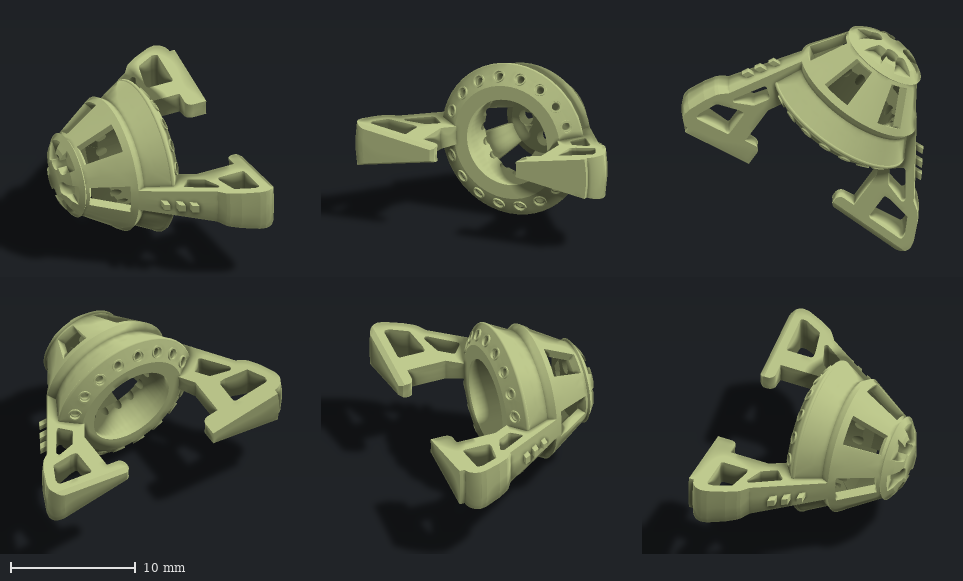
import cadquery as cq
import math


cone_front = (3.31, 1.28)
ridge = (5.57, 4.88)
groove = (5.2, 5.55)
rim_front = (6.2, 7.49)
rim_crest = (6.307, 7.65)
rim_back = (6.2, 7.8)
rear_edge = (4.7, 8.8)
bore_radius = 3.55
wall = 0.75

window_count = 6
window_angle = 28
window_front_y = 1.52
window_back_y = 4.35
step_lead = 0.02
overcut = 0.22

stud_count = 18
stud_centre_radius = 5.4
stud_radius = 0.53
stud_height = 0.13
stud_recess_radius = 0.42
stud_recess_depth = 0.27
stud_bore_radius = 0.33
stud_root = 0.22
stud_bore_length = 4.42

arm_angle = 19.0
arm_back_y = 14.67
tab_back_y = 15.1
tab_outer_radius = 10.03
foot_radius = 3.82
foot_front_y = 13.43
toe_radius = 0.53
toe_chamfer = 0.27
post_radius = 5.32
post_front_y = 10.1
post_root_radius = 4.53
arm_root = (4.95, 5.55)
shoulder_middle = (10.78, 14.31)
arm_side = [(11.05, 13.65), (10.95, 13.17), (10.35, 11.8), (9.87, 10.98), (9.68, 10.75), (9.01, 10.27)]
bevel_length = 0.42
bevel_depth = 0.22
bevel_reach = 13.25
arm_slot_fillet = 0.22
large_slot = [(6.83, 13.59), (10.05, 13.59), (10.05, 13.1), (9.32, 11.62), (7.4, 11.25), (6.83, 11.25)]
small_slot = [(8.7, 11.02), (6.58, 10.3), (5.79, 9.1), (6.8, 8.22)]

grip_blocks = [
    (8.33, 8.84, 8.37, 8.64, 0.62),
    (7.4, 7.86, 7.82, 8.08, 0.62),
    (6.38, 6.8, 7.22, 7.42, 0.5),
]
grip_length = 1.1

lip = (3.5, 1.15)
dome_break = (2.58, 0.46)
nose_radius = 1.41
plug_radius = 2.32
plug_back_radius = 1.55
plug_back_y = 2.35
plug_crown_radius = 1.92
plug_groove_width = 1.1
nose_hole_count = 4
nose_hole_circle = 1.6
nose_hole_radius = 0.607
nose_pocket_angle = 35
nose_pocket_inner_radius = 1.52
nose_pocket_floor_y = 0.8
nose_pocket_fillet = 0.33

cone_slope = (ridge[0] - cone_front[0]) / (ridge[1] - cone_front[1])
cone_tilt = math.atan(cone_slope)
normal = (math.cos(cone_tilt), -math.sin(cone_tilt))


def cone_point(y, depth):
    """Point at a depth below the place where the cone surface has height y."""
    radius = cone_front[0] + (y - cone_front[1]) * cone_slope
    return (radius - depth * normal[0], y - depth * normal[1])


window_front_inner = cone_point(window_front_y, wall)
step_outer = cone_point(window_back_y - step_lead, wall)
window_depth = wall + 1.33
floor_y = window_front_inner[1]
step_y = step_outer[1] + (step_outer[0] - bore_radius) * cone_slope


def turn(sketch, angle=360):
    """Revolve an outline about Y, centred on the +X direction."""
    return sketch.revolve(angle, (0, 0), (0, 1)).rotate((0, 0, 0), (0, 1, 0), -angle / 2)


def around(body, index, count):
    """Copy of a body, turned to its place in a ring about Y."""
    return body.rotate((0, 0, 0), (0, 1, 0), index * 360 / count)


def outer_form():
    outline = (
        cq.Workplane("XY")
        .moveTo(0, cone_front[1])
        .lineTo(*cone_front)
        .lineTo(*ridge)
        .lineTo(*groove)
        .lineTo(*rim_front)
        .threePointArc(rim_crest, rim_back)
        .lineTo(*rear_edge)
        .lineTo(0, rear_edge[1])
        .close()
    )
    return turn(outline)


def cavity():
    """Rear bore, the cone behind the windows and the front opening that takes the cap's plug."""
    outline = (
        cq.Workplane("XY")
        .moveTo(0, cone_front[1])
        .lineTo(plug_radius, cone_front[1])
        .lineTo(plug_radius, floor_y)
        .lineTo(*window_front_inner)
        .lineTo(*step_outer)
        .lineTo(bore_radius, step_y)
        .lineTo(bore_radius, rear_edge[1])
        .lineTo(0, rear_edge[1])
        .close()
    )
    return turn(outline)


def window():
    corners = [
        cone_point(window_front_y, -overcut),
        cone_point(window_back_y, -overcut),
        cone_point(window_back_y, window_depth),
        cone_point(window_front_y, window_depth),
    ]
    return turn(cq.Workplane("XY").polyline(corners).close(), window_angle)


def stud_plane():
    """Plane on the rear bevel of the rim, facing out along the bevel's normal."""
    run = rim_back[0] - rear_edge[0]
    rise = rear_edge[1] - rim_back[1]
    centre_y = rim_back[1] + (rim_back[0] - stud_centre_radius) * rise / run
    return cq.Plane(origin=(stud_centre_radius, centre_y, 0), xDir=(0, 0, 1), normal=(rise, run, 0))


def stud():
    root = cq.Workplane(stud_plane()).workplane(offset=-stud_root)
    return root.circle(stud_radius).extrude(stud_root + stud_height)


def stud_hole():
    top = cq.Workplane(stud_plane()).workplane(offset=stud_height)
    recess = top.circle(stud_recess_radius).extrude(-stud_recess_depth)
    bore = top.circle(stud_bore_radius).extrude(-stud_bore_length)
    return recess.union(bore)


def arm_outline():
    """Outline shared by both arms, from the outer bend round to the inner tip of the foot."""
    return (
        cq.Workplane("XY")
        .moveTo(tab_outer_radius, arm_back_y)
        .threePointArc(shoulder_middle, arm_side[0])
        .polyline(arm_side[1:] + [ridge], includeCurrent=True)
        .lineTo(*arm_root)
        .lineTo(*rear_edge)
        .lineTo(post_root_radius, rear_edge[1])
        .lineTo(post_radius, post_front_y)
        .lineTo(post_radius, foot_front_y)
        .lineTo(foot_radius + toe_radius, foot_front_y)
        .radiusArc((foot_radius, foot_front_y + toe_radius), toe_radius)
    )


def arm_slot(corners):
    outline = cq.Sketch().polygon(corners + corners[:1]).vertices().fillet(arm_slot_fillet)
    return turn(cq.Workplane("XY").placeSketch(outline), 2 * arm_angle)


def grip_block(front_y, back_y, front_radius, back_radius, width):
    corners = [
        (front_radius - grip_length, front_y),
        (front_radius, front_y),
        (back_radius, back_y),
        (back_radius - grip_length, back_y),
    ]
    return cq.Workplane("XY").polyline(corners).close().extrude(width / 2, both=True)


def finished_arm(outline):
    """Arm on the +X side: slots cut through it and grip blocks on its outer face."""
    arm = turn(outline.close(), arm_angle)
    for corners in (large_slot, small_slot):
        arm = arm.cut(arm_slot(corners))
    for block in grip_blocks:
        arm = arm.union(grip_block(*block))
    return arm


def left_arm():
    outline = arm_outline().lineTo(foot_radius, tab_back_y).lineTo(tab_outer_radius, tab_back_y)
    return finished_arm(outline).rotate((0, 0, 0), (0, 1, 0), 180)


def back_bevel(side):
    """Wedge along the rear edge of the upper (side = 1) or lower (side = -1) arm face."""
    corners = [
        (arm_back_y - bevel_length, 0),
        (arm_back_y, -side * bevel_depth),
        (arm_back_y, side * bevel_depth),
    ]
    wedge = cq.Workplane("YZ").polyline(corners).close().extrude(bevel_reach)
    return wedge.rotate((0, 0, 0), (0, 1, 0), -side * arm_angle / 2)


def right_arm():
    outline = arm_outline().lineTo(foot_radius, arm_back_y - toe_chamfer)
    outline = outline.lineTo(foot_radius + toe_chamfer, arm_back_y)
    return finished_arm(outline).cut(back_bevel(1)).cut(back_bevel(-1))


def make_housing():
    body = outer_form()
    for index in range(window_count):
        body = body.cut(around(window(), index, window_count))
    body = body.cut(cavity())
    for index in range(stud_count):
        body = body.union(around(stud(), index, stud_count))
    for index in range(stud_count):
        body = body.cut(around(stud_hole(), index, stud_count))
    return body.union(left_arm()).union(right_arm())


def cap_blank():
    """Domed nose with a lip, and a plug that fills the front opening of the housing."""
    outline = (
        cq.Workplane("XY")
        .moveTo(0, 0)
        .lineTo(nose_radius, 0)
        .lineTo(*dome_break)
        .lineTo(*lip)
        .lineTo(*cone_front)
        .lineTo(plug_radius, cone_front[1])
        .lineTo(plug_radius, floor_y)
        .lineTo(plug_crown_radius, floor_y)
        .lineTo(plug_back_radius, plug_back_y)
        .lineTo(0, plug_back_y)
        .close()
    )
    return turn(outline)


def plug_groove():
    """Groove across the raised back of the plug."""
    height = plug_back_y - floor_y
    groove_box = cq.Workplane("XY").box(2 * plug_radius, height, plug_groove_width)
    return groove_box.translate((0, floor_y + height / 2, 0))


def nose_pocket():
    """Wedge-shaped pocket, open through the dome, with rounded inner corners."""
    spread = math.tan(math.radians(nose_pocket_angle / 2))
    inner = nose_pocket_inner_radius
    outer = lip[0]
    corners = [
        (inner, -inner * spread),
        (outer, -outer * spread),
        (outer, outer * spread),
        (inner, inner * spread),
    ]
    outline = cq.Workplane("XZ").workplane(offset=-nose_pocket_floor_y).polyline(corners).close()
    return outline.extrude(nose_pocket_floor_y).edges("|Y and <X").fillet(nose_pocket_fillet)


def nose_hole():
    return cq.Workplane("XZ").center(nose_hole_circle, 0).circle(nose_hole_radius).extrude(-plug_back_y)


def make_cap():
    body = cap_blank()
    for index in range(window_count):
        body = body.cut(around(nose_pocket(), index, window_count))
        body = body.cut(around(plug_groove(), index, window_count))
    for index in range(nose_hole_count):
        body = body.cut(around(nose_hole(), index, nose_hole_count))
    return body


housing = make_housing()
cap = make_cap()

result = cq.Compound.makeCompound([housing.val(), cap.val()])